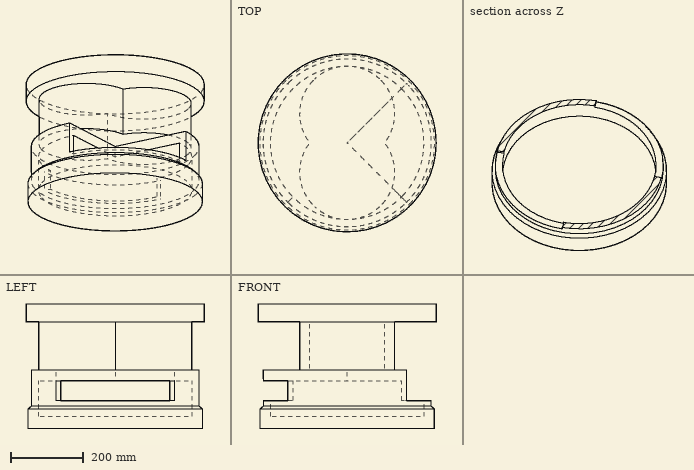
import cadquery as cq

base_diameter = 480.0
base_height = 34.0
ring_diameter = 462.0
ring_bore = 422.0
shoulder_top = 54.0
taper_top = 62.0
sill_top = 77.5

plate_bottom = 131.5
plate_top = 161.5

column_diameter = 261.0
column_offset = (ring_bore - column_diameter) / 2
disc_diameter = 490.0
disc_bottom = 293.5
total_height = 343.0


def cylinder(diameter, bottom, top, y=0):
    """Upright cylinder between two heights."""
    return cq.Workplane("XY", origin=(0, y, bottom)).circle(diameter / 2).extrude(top - bottom)


def quadrant(direction, bottom, top):
    """Quarter wedge from the axis, centred on +X (direction 1) or -X (direction -1)."""
    reach = direction * ring_diameter
    return (
        cq.Workplane("XY", origin=(0, 0, bottom))
        .polyline([(0, 0), (reach, -ring_diameter), (reach, ring_diameter)])
        .close()
        .extrude(top - bottom)
    )


def make_base():
    """Round base with a tapered shoulder around the foot of the ring."""
    taper_profile = [
        (0, 0),
        (base_diameter / 2, 0),
        (base_diameter / 2, shoulder_top),
        (ring_diameter / 2, taper_top),
        (0, taper_top),
    ]
    return cq.Workplane("XZ").polyline(taper_profile).close().revolve(360, (0, 0, 0), (0, 1, 0))


def make_housing():
    """Bored ring on the base, capped by a plate, with openings on the -X and +X sides."""
    ring = cylinder(ring_diameter, taper_top, plate_bottom)
    plate = cylinder(ring_diameter, plate_bottom, plate_top)
    bore = cylinder(ring_bore, base_height, plate_bottom)
    side_window = quadrant(-1, sill_top, plate_bottom)
    open_quadrant = quadrant(1, sill_top, plate_top)
    return make_base().union(ring).cut(bore).union(plate).cut(side_window).cut(open_quadrant)


def make_columns():
    """Two overlapping columns side by side along Y."""
    front = cylinder(column_diameter, plate_top, disc_bottom, -column_offset)
    back = cylinder(column_diameter, plate_top, disc_bottom, column_offset)
    return front.union(back)


top_disc = cylinder(disc_diameter, disc_bottom, total_height)
result = make_housing().union(make_columns()).union(top_disc)